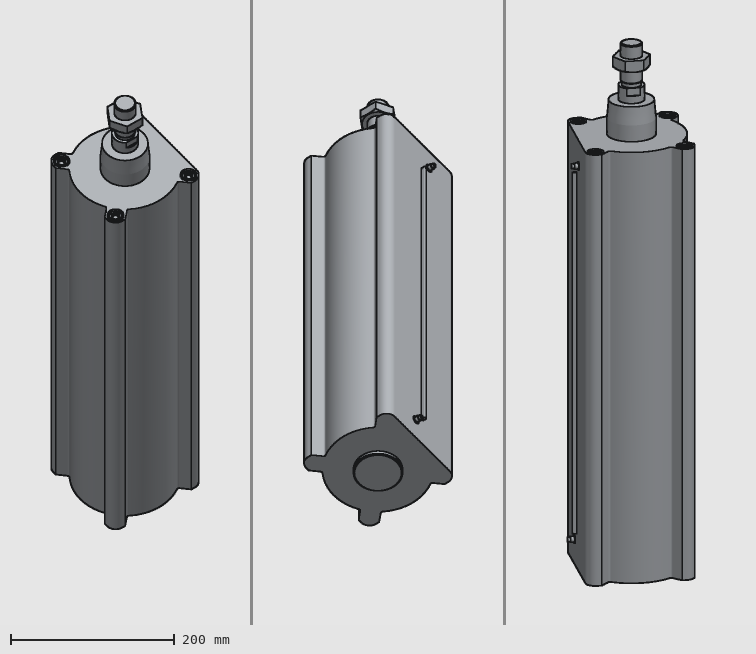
import cadquery as cq
import math

TOTAL_HEIGHT = 685.0
BARREL_BOTTOM = 6.0
BARREL_TOP = 566.5
BARREL_WIDTH = 136.0
BARREL_RADIUS = BARREL_WIDTH / 2
TIE_ROD_OFFSET = 55.5
CORNER_RADIUS = BARREL_RADIUS - TIE_ROD_OFFSET
ARM_WIDTH = 2 * CORNER_RADIUS
NECK_FILLET = 3.0

COLLAR_DIAMETER = 60.0
COLLAR_TIP_DIAMETER = 56.0
COLLAR_SHOULDER = 588.0
COLLAR_TOP = 611.0
FOOT_CHAMFER = 1.5

COUNTERBORE_DIAMETER = 20.0
COUNTERBORE_DEPTH = 6.0
SCREW_HEAD_DIAMETER = 18.5
SCREW_HEAD_HEIGHT = 5.0
SCREW_HEAD_CHAMFER = 1.5
SOCKET_ACROSS_FLATS = 10.0
SOCKET_DEPTH = 2.0
SOCKET_BORE_DIAMETER = 7.5
SOCKET_BORE_DEPTH = 3.5

FITTING_X = 13.0
FITTING_LOW_Z = 39.0
FITTING_HIGH_Z = 533.5
FITTING_STEPS = ((10.0, 1.0), (7.5, 5.5), (5.75, 9.0))
RAIL_WIDTH = 3.5
RAIL_HEIGHT = 5.5
RAIL_EDGE_RADIUS = 1.5
RAIL_BOTTOM = 51.5
RAIL_TOP = 520.5

ROD_DIAMETER = 32.0
ROD_SHOULDER = 630.0
FLATS_BOTTOM = 620.5
FLATS_WIDTH = 27.5
UNDERCUT_DIAMETER = 24.0
THREAD_DIAMETER = 27.0
THREAD_BOTTOM = 635.0
THREAD_CHAMFER = (THREAD_DIAMETER - UNDERCUT_DIAMETER) / 2

NUT_BOTTOM = 653.0
NUT_TOP = 668.0
NUT_ACROSS_FLATS = 40.5
NUT_FACE_DIAMETER = 39.0
NUT_CHAMFER_ANGLE = 30.0


def cylinder(diameter, bottom, top):
    return cq.Workplane("XY").workplane(offset=bottom).circle(diameter / 2).extrude(top - bottom)


def block(size_x, size_y, bottom, top, center=(0, 0)):
    plane = cq.Workplane("XY").workplane(offset=bottom).center(*center)
    return plane.rect(size_x, size_y).extrude(top - bottom)


def corner_points():
    return [(sx * TIE_ROD_OFFSET, sy * TIE_ROD_OFFSET) for sx in (-1, 1) for sy in (-1, 1)]


def hexagon(across_flats, bottom, top):
    """A hexagonal prism with two of its flats facing +X and -X."""
    half_sector = 180 / 6
    corner_diameter = across_flats / math.cos(math.radians(half_sector))
    plane = cq.Workplane("XY").workplane(offset=bottom).transformed(rotate=(0, 0, half_sector))
    return plane.polygon(6, corner_diameter).extrude(top - bottom)


def make_barrel():
    envelope = block(BARREL_WIDTH, BARREL_WIDTH, BARREL_BOTTOM, BARREL_TOP)
    envelope = envelope.edges("|Z").fillet(CORNER_RADIUS)
    barrel = cylinder(BARREL_WIDTH, BARREL_BOTTOM, BARREL_TOP)
    arm = block(2 * BARREL_WIDTH, ARM_WIDTH, BARREL_BOTTOM, BARREL_TOP)
    for angle in (45, 135):
        diagonal_arm = arm.rotate((0, 0, 0), (0, 0, 1), angle)
        barrel = barrel.union(diagonal_arm)
    back_center = (0, BARREL_RADIUS / 2)
    back = block(2 * TIE_ROD_OFFSET, BARREL_RADIUS, BARREL_BOTTOM, BARREL_TOP, back_center)
    necks = cq.selectors.BoxSelector(
        (-BARREL_RADIUS, -BARREL_RADIUS, BARREL_BOTTOM),
        (BARREL_RADIUS, BARREL_RADIUS, BARREL_TOP),
    )
    barrel = barrel.edges("|Z").edges(necks).fillet(NECK_FILLET)
    return barrel.union(back).intersect(envelope)


def make_screw_recess():
    """The space around a screw head sunk in a counterbore whose mouth is at z = 0."""
    recess = cylinder(COUNTERBORE_DIAMETER, -COUNTERBORE_DEPTH, 0)
    head_top = SCREW_HEAD_HEIGHT - COUNTERBORE_DEPTH
    head = cylinder(SCREW_HEAD_DIAMETER, -COUNTERBORE_DEPTH, head_top)
    head = head.faces(">Z").chamfer(SCREW_HEAD_CHAMFER)
    head = head.cut(hexagon(SOCKET_ACROSS_FLATS, head_top - SOCKET_DEPTH, head_top))
    head = head.cut(cylinder(SOCKET_BORE_DIAMETER, head_top - SOCKET_BORE_DEPTH, head_top))
    return recess.cut(head)


def make_collars():
    foot = cylinder(COLLAR_DIAMETER, 0, BARREL_BOTTOM).faces("<Z").chamfer(FOOT_CHAMFER)
    lower = cylinder(COLLAR_DIAMETER, BARREL_TOP, COLLAR_SHOULDER)
    taper = (
        cq.Workplane("XY")
        .workplane(offset=COLLAR_SHOULDER)
        .circle(COLLAR_DIAMETER / 2)
        .workplane(offset=COLLAR_TOP - COLLAR_SHOULDER)
        .circle(COLLAR_TIP_DIAMETER / 2)
        .loft()
    )
    return foot.union(lower).union(taper)


def make_fitting():
    """A stepped nipple standing on the origin and pointing along +Y."""
    fitting = cq.Workplane("XZ")
    for diameter, height in FITTING_STEPS:
        fitting = fitting.union(cq.Workplane("XZ").circle(diameter / 2).extrude(-height))
    return fitting


def make_rail():
    center = (0, BARREL_RADIUS + RAIL_HEIGHT / 2)
    rail = block(RAIL_WIDTH, RAIL_HEIGHT, RAIL_BOTTOM, RAIL_TOP, center)
    return rail.edges("|Z and >Y").fillet(RAIL_EDGE_RADIUS)


def make_housing():
    housing = make_barrel().union(make_collars()).union(make_rail())
    recess = make_screw_recess()
    for x, y in corner_points():
        housing = housing.cut(recess.translate((x, y, BARREL_TOP)))
    fitting = make_fitting()
    for x, z in ((-FITTING_X, FITTING_HIGH_Z), (FITTING_X, FITTING_LOW_Z)):
        housing = housing.union(fitting.translate((x, BARREL_RADIUS, z)))
    return housing.cut(cylinder(ROD_DIAMETER, BARREL_TOP, COLLAR_TOP))


def make_piston_rod():
    shank = cylinder(ROD_DIAMETER, BARREL_TOP, ROD_SHOULDER)
    flatted = block(FLATS_WIDTH, ROD_DIAMETER, FLATS_BOTTOM, ROD_SHOULDER)
    waste = cylinder(2 * ROD_DIAMETER, FLATS_BOTTOM, ROD_SHOULDER).cut(flatted)
    undercut = cylinder(UNDERCUT_DIAMETER, ROD_SHOULDER, THREAD_BOTTOM)
    thread = cylinder(THREAD_DIAMETER, THREAD_BOTTOM, TOTAL_HEIGHT)
    thread = thread.faces("|Z").chamfer(THREAD_CHAMFER)
    return shank.cut(waste).union(undercut).union(thread)


def make_nut():
    blank = hexagon(NUT_ACROSS_FLATS, NUT_BOTTOM, NUT_TOP)
    face_radius = NUT_FACE_DIAMETER / 2
    height = NUT_TOP - NUT_BOTTOM
    spread = height / math.tan(math.radians(NUT_CHAMFER_ANGLE))
    chamfer_cone = (
        cq.Workplane("XY")
        .workplane(offset=NUT_BOTTOM)
        .circle(face_radius)
        .workplane(offset=height)
        .circle(face_radius + spread)
        .loft()
    )
    return blank.intersect(chamfer_cone).cut(cylinder(THREAD_DIAMETER, NUT_BOTTOM, NUT_TOP))


housing = make_housing()
piston_rod = make_piston_rod()
nut = make_nut()
result = cq.Compound.makeCompound([housing.val(), piston_rod.val(), nut.val()])